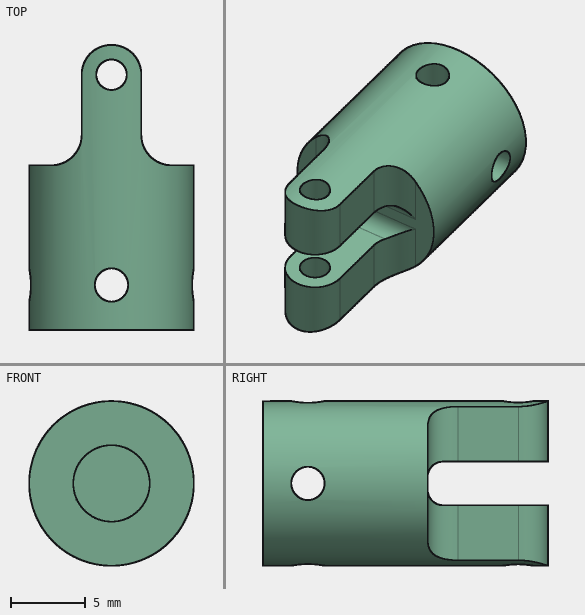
import cadquery as cq

length = 19.02
body_diameter = 11.0
shoulder_y = 11.0
bore_diameter = 5.1
bore_depth = 10.0
cross_hole_diameter = 2.2
cross_hole_y = 3.0
tongue_width = 4.0
shoulder_fillet = 2.0
pin_hole_diameter = 2.02
slot_width = 2.9
slot_corner_radius = 1.0

tip_radius = tongue_width / 2
pin_y = length - tip_radius
cut_span = 2 * body_diameter


def cylinder_along_y(diameter, depth):
    """Cylinder on the body axis, from Y = 0 towards +Y."""
    return cq.Workplane("XZ").circle(diameter / 2).extrude(-depth)


def cross_hole(plane, x, y, diameter):
    """Cylinder through the whole body, normal to the given plane."""
    return cq.Workplane(plane).center(x, y).circle(diameter / 2).extrude(cut_span / 2, both=True)


def profile_envelope():
    """Body and round-ended tongue as outlined in the XY plane, extruded along Z."""
    half_body = body_diameter / 2
    fillet_x = tip_radius + shoulder_fillet
    fillet_y = shoulder_y + shoulder_fillet
    return (
        cq.Workplane("XY")
        .moveTo(-half_body, 0)
        .lineTo(half_body, 0)
        .lineTo(half_body, shoulder_y)
        .lineTo(fillet_x, shoulder_y)
        .radiusArc((tip_radius, fillet_y), shoulder_fillet)
        .lineTo(tip_radius, pin_y)
        .threePointArc((0, length), (-tip_radius, pin_y))
        .lineTo(-tip_radius, fillet_y)
        .radiusArc((-fillet_x, shoulder_y), shoulder_fillet)
        .lineTo(-half_body, shoulder_y)
        .close()
        .extrude(cut_span / 2, both=True)
    )


def fork_slot():
    """Slot between the two prongs, with rounded corners at its floor."""
    slot_length = length - shoulder_y
    return (
        cq.Workplane("XY")
        .box(cut_span, slot_length, slot_width)
        .edges("<Y and |X")
        .fillet(slot_corner_radius)
        .translate((0, shoulder_y + slot_length / 2, 0))
    )


result = (
    cylinder_along_y(body_diameter, length)
    .intersect(profile_envelope())
    .cut(fork_slot())
    .cut(cylinder_along_y(bore_diameter, bore_depth))
    .cut(cross_hole("XY", 0, pin_y, pin_hole_diameter))
    .cut(cross_hole("XY", 0, cross_hole_y, cross_hole_diameter))
    .cut(cross_hole("YZ", cross_hole_y, 0, cross_hole_diameter))
)